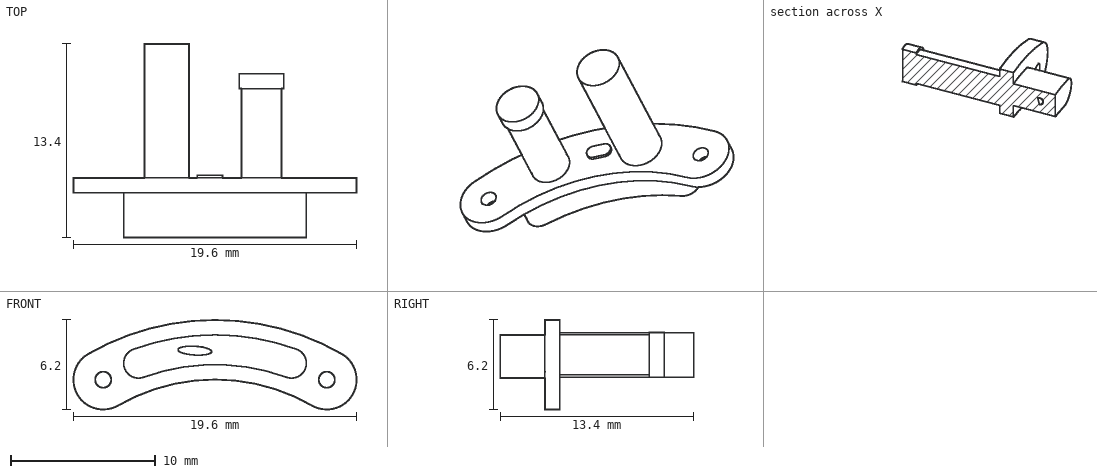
import cadquery as cq
import math

plate_length = 19.57
plate_width = 4.13
plate_thickness = 1.04
center_radius = 15.45
screw_hole_diameter = 1.1

boss_width = 2.05
boss_height = 3.1
boss_half_angle = 20.0

pin_diameter = 3.1
long_pin_length = 9.25
long_pin_angle = -12.5
short_pin_length = 7.2
short_pin_angle = 12.0
short_pin_neck_diameter = 2.78
short_pin_head_length = 1.04

pad_length = 1.76
pad_width = 0.98
pad_height = 0.2
pad_angle = -1.3

port_diameter = 0.6
port_slant = 15.0
port_mouth_angle = -5.2

screw_hole_x = (plate_length - plate_width) / 2
plate_half_angle = math.degrees(math.asin(screw_hole_x / center_radius))
arc_center_z = -math.sqrt(center_radius**2 - screw_hole_x**2)


def arc_point(angle, radius=center_radius):
    """X and Z of the point at an angle from the top of the layout arc."""
    turn = math.radians(angle)
    return radius * math.sin(turn), arc_center_z + radius * math.cos(turn)


def curved_slot(width, half_angle, y_start, depth):
    """Round-ended band along the layout arc, extruded toward +Y."""
    outer = center_radius + width / 2
    inner = center_radius - width / 2
    turn = math.radians(half_angle)
    end_x, end_z = arc_point(half_angle)
    tip_x = end_x + width / 2 * math.cos(turn)
    tip_z = end_z - width / 2 * math.sin(turn)
    return (
        cq.Workplane("XZ", origin=(0, y_start, 0))
        .moveTo(*arc_point(-half_angle, outer))
        .threePointArc(arc_point(0, outer), arc_point(half_angle, outer))
        .threePointArc((tip_x, tip_z), arc_point(half_angle, inner))
        .threePointArc(arc_point(0, inner), arc_point(-half_angle, inner))
        .threePointArc((-tip_x, tip_z), arc_point(-half_angle, outer))
        .close()
        .extrude(-depth)
    )


def cylinder(center, diameter, y_start, length):
    """Cylinder along +Y, centered on an (X, Z) point."""
    x, z = center
    return cq.Workplane("XZ", origin=(x, y_start, z)).circle(diameter / 2).extrude(-length)


def make_short_pin():
    center = arc_point(short_pin_angle)
    neck = cylinder(center, short_pin_neck_diameter, plate_thickness, short_pin_length)
    head_start = plate_thickness + short_pin_length - short_pin_head_length
    return neck.union(cylinder(center, pin_diameter, head_start, short_pin_head_length))


def make_pad():
    x, z = arc_point(pad_angle)
    return (
        cq.Workplane("XZ", origin=(x, plate_thickness, z))
        .slot2D(pad_length, pad_width)
        .extrude(-pad_height)
    )


def make_port():
    """Round drilling that enters the boss face on a slant and ends on the short pin's axis."""
    mouth_x, mouth_z = arc_point(port_mouth_angle)
    end_x, end_z = arc_point(short_pin_angle)
    slope = math.tan(math.radians(port_slant))
    end_depth = math.hypot(end_x - mouth_x, end_z - mouth_z) * slope
    mouth = cq.Vector(mouth_x, -boss_height, mouth_z)
    path = cq.Vector(end_x, -boss_height + end_depth, end_z) - mouth
    direction = path.normalized()
    clearance = port_diameter / slope
    start = mouth - direction * clearance
    return cq.Workplane(
        cq.Solid.makeCylinder(port_diameter / 2, path.Length + clearance, start, direction)
    )


plate = curved_slot(plate_width, plate_half_angle, 0, plate_thickness)
boss = curved_slot(boss_width, boss_half_angle, -boss_height, boss_height)
long_pin = cylinder(arc_point(long_pin_angle), pin_diameter, plate_thickness, long_pin_length)

result = plate.union(boss).union(long_pin).union(make_short_pin()).union(make_pad())
for side in (-1, 1):
    result = result.cut(cylinder((side * screw_hole_x, 0), screw_hole_diameter, 0, plate_thickness))
result = result.cut(make_port())